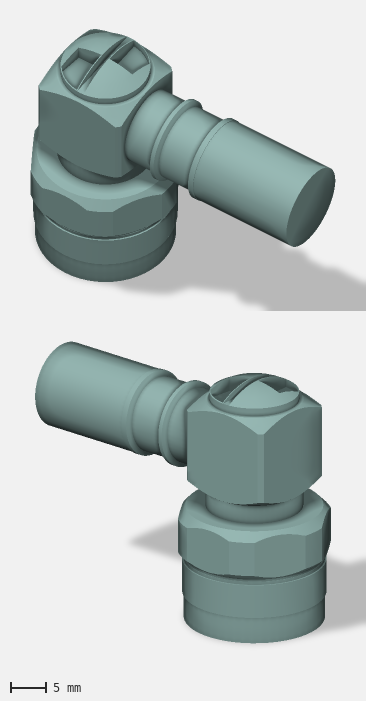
import cadquery as cq
import math


OVERALL_LENGTH = 46.0
OVERALL_HEIGHT = 36.2

LOWER_COLLAR_RADIUS = 10.0
LOWER_COLLAR_TOP = 3.95
UPPER_COLLAR_RADIUS = 10.2
UPPER_COLLAR_TOP = 8.95
GROOVE_RADIUS = 10.0
GROOVE_TOP = 9.4
RELIEF_RADIUS = 9.9

NUT_ACROSS_FLATS = 20.6
NUT_CORNER_RADIUS = 11.0
NUT_BOTTOM = 9.75
NUT_TOP = 17.05
NUT_BOTTOM_RADIUS = 10.05
NUT_BOTTOM_CHAMFER = 0.9
NUT_TOP_RADIUS = 9.75
NUT_TOP_CHAMFER = 1.3

NECK_RADIUS = 6.9
BLOCK_WIDTH = 14.1
BLOCK_BOTTOM = 19.75
BLOCK_TOP = 33.23
BLOCK_CORNER_RADIUS = 9.53
BLOCK_END_RADIUS = 6.95
BLOCK_CHAMFER_ANGLE = 30.0

CAP_RADIUS = 6.35
CAP_RIM_TOP = 34.38
SLOT_WIDTH = 1.1
POCKET_WALL = 0.15
POCKET_FLOOR = BLOCK_TOP
POCKET_EDGE_INNER = 4.55
POCKET_EDGE_SLOPE = 0.12

ARM_HEIGHT = 26.25
ARM_END = OVERALL_LENGTH - NUT_CORNER_RADIUS
TUBE_RADIUS = 5.5
RIB_RADIUS = 6.25
SLEEVE_RADIUS = 6.15
RIB_TAPER = 0.45
RIB_START = 11.35
RIB_LAND = 0.6
SLEEVE_START = 17.85
SLEEVE_LAND = 0.85


def cylinder(radius, bottom, top):
    return cq.Workplane("XY").workplane(offset=bottom).circle(radius).extrude(top - bottom)


def turned_blank(radius, bottom, top, bottom_radius, bottom_chamfer, top_radius, top_chamfer):
    """Cylinder with a conical chamfer at each end, about the Z axis."""
    outline = [
        (0, bottom),
        (bottom_radius, bottom),
        (radius, bottom + bottom_chamfer),
        (radius, top - top_chamfer),
        (top_radius, top),
        (0, top),
    ]
    return cq.Workplane("XZ").polyline(outline).close().revolve(360, (0, 0), (0, 1))


def coupling_collars():
    lower = cylinder(LOWER_COLLAR_RADIUS, 0, LOWER_COLLAR_TOP)
    upper = cylinder(UPPER_COLLAR_RADIUS, LOWER_COLLAR_TOP, UPPER_COLLAR_TOP)
    groove = cylinder(GROOVE_RADIUS, UPPER_COLLAR_TOP, GROOVE_TOP)
    relief = cylinder(RELIEF_RADIUS, GROOVE_TOP, NUT_BOTTOM)
    return lower.union(upper).union(groove).union(relief)


def hex_nut():
    hexagon_diameter = NUT_ACROSS_FLATS / math.cos(math.pi / 6)
    prism = (
        cq.Workplane("XY")
        .workplane(offset=NUT_BOTTOM)
        .polygon(6, hexagon_diameter)
        .extrude(NUT_TOP - NUT_BOTTOM)
    )
    blank = turned_blank(
        NUT_CORNER_RADIUS, NUT_BOTTOM, NUT_TOP,
        NUT_BOTTOM_RADIUS, NUT_BOTTOM_CHAMFER, NUT_TOP_RADIUS, NUT_TOP_CHAMFER,
    )
    return prism.intersect(blank)


def elbow_block():
    height = BLOCK_TOP - BLOCK_BOTTOM
    square = cq.Workplane("XY").workplane(offset=BLOCK_BOTTOM).rect(BLOCK_WIDTH, BLOCK_WIDTH).extrude(height)
    chamfer = (BLOCK_CORNER_RADIUS - BLOCK_END_RADIUS) * math.tan(math.radians(BLOCK_CHAMFER_ANGLE))
    blank = turned_blank(
        BLOCK_CORNER_RADIUS, BLOCK_BOTTOM, BLOCK_TOP,
        BLOCK_END_RADIUS, chamfer, BLOCK_END_RADIUS, chamfer,
    )
    return square.intersect(blank)


def cap_pocket():
    """Opening in the +X +Y quarter of the dome, leaving a thin lip beside the slot."""
    inner = SLOT_WIDTH / 2 + POCKET_WALL
    outer = POCKET_EDGE_INNER + POCKET_EDGE_SLOPE * CAP_RADIUS
    outline = [(inner, 0), (POCKET_EDGE_INNER, 0), (outer, CAP_RADIUS), (inner, CAP_RADIUS)]
    prism = (
        cq.Workplane("XY")
        .workplane(offset=POCKET_FLOOR)
        .polyline(outline)
        .close()
        .extrude(OVERALL_HEIGHT - POCKET_FLOOR)
    )
    bore = cylinder(CAP_RADIUS - POCKET_WALL, POCKET_FLOOR, OVERALL_HEIGHT)
    return prism.intersect(bore)


def screw_cap():
    dome_rise = OVERALL_HEIGHT - CAP_RIM_TOP
    dome_radius = (CAP_RADIUS**2 + dome_rise**2) / (2 * dome_rise)
    half_angle = math.asin(CAP_RADIUS / dome_radius) / 2
    dome_center = OVERALL_HEIGHT - dome_radius
    mid_point = (dome_radius * math.sin(half_angle), dome_center + dome_radius * math.cos(half_angle))
    cap = (
        cq.Workplane("XZ")
        .moveTo(0, BLOCK_TOP)
        .lineTo(CAP_RADIUS, BLOCK_TOP)
        .lineTo(CAP_RADIUS, CAP_RIM_TOP)
        .threePointArc(mid_point, (0, OVERALL_HEIGHT))
        .close()
        .revolve(360, (0, 0), (0, 1))
    )
    slot = (
        cq.Workplane("XY")
        .workplane(offset=CAP_RIM_TOP)
        .rect(SLOT_WIDTH, 2 * CAP_RADIUS)
        .extrude(dome_rise)
    )
    cap = cap.cut(slot)
    for turn in (0, 180):
        cap = cap.cut(cap_pocket().rotate((0, 0, 0), (0, 0, 1), turn))
    return cap


def cable_arm():
    """Tube with a chamfered rib and the crimp sleeve, turned about the arm axis."""
    rib_top_start = RIB_START + RIB_TAPER
    rib_top_end = rib_top_start + RIB_LAND
    rib_end = rib_top_end + RIB_TAPER
    sleeve_top_start = SLEEVE_START + RIB_TAPER
    sleeve_top_end = sleeve_top_start + SLEEVE_LAND
    outline = [
        (0, 0),
        (0, TUBE_RADIUS),
        (RIB_START, TUBE_RADIUS),
        (rib_top_start, RIB_RADIUS),
        (rib_top_end, RIB_RADIUS),
        (rib_end, TUBE_RADIUS),
        (SLEEVE_START, TUBE_RADIUS),
        (sleeve_top_start, RIB_RADIUS),
        (sleeve_top_end, RIB_RADIUS),
        (sleeve_top_end, SLEEVE_RADIUS),
        (ARM_END, SLEEVE_RADIUS),
        (ARM_END, 0),
    ]
    arm = cq.Workplane("XZ").polyline(outline).close().revolve(360, (0, 0), (1, 0))
    return arm.translate((0, 0, ARM_HEIGHT))


result = (
    coupling_collars()
    .union(hex_nut())
    .union(cylinder(NECK_RADIUS, NUT_TOP, BLOCK_BOTTOM))
    .union(elbow_block())
    .union(cable_arm())
    .union(screw_cap())
)